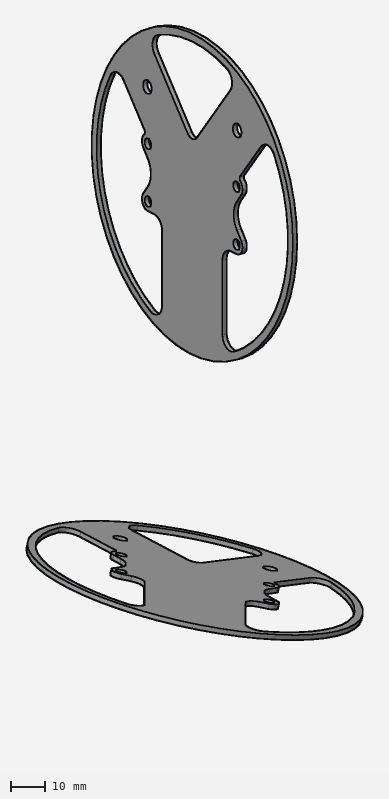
import cadquery as cq
import math

outer_radius = 50.0
thickness = 1.6
ring_inner_radius = 47.5

arm_angle = math.radians(50)
arm_half_width = 10.0
stem_half_width = 15.0
corner_radius = 4.0
top_window_tip_radius = 3.0

arm_hole_diameter = 4.2
arm_hole_distance = 34.7
ear_hole_diameter = 3.2
ear_x = 22.0
ear_z = 9.0

ear_radius = 3.0
ear_to_arm_radius = 1.0
waist_half_width = 20.6
waist_radius = 7.0

overrun = 1.2 * outer_radius

arm_direction = (math.cos(arm_angle), math.sin(arm_angle))
arm_normal = (math.sin(arm_angle), -math.cos(arm_angle))


def arm_point(along, across):
    """Point in arm coordinates; positive across is toward the side window."""
    return (
        along * arm_direction[0] + across * arm_normal[0],
        along * arm_direction[1] + across * arm_normal[1],
    )


def polar(center, radius, angle):
    return (center[0] + radius * math.cos(angle), center[1] + radius * math.sin(angle))


def extrude_in_plate(sketch):
    """Extrude an XZ outline through the plate, centred on Y = 0."""
    return sketch.extrude(thickness).translate((0, thickness / 2, 0))


def disk(radius):
    return extrude_in_plate(cq.Workplane("XZ").circle(radius))


def round_corner(body, corner, radius):
    """Round the through-thickness edge standing at an (x, z) corner."""
    selector = cq.selectors.NearestToPointSelector((corner[0], 0, corner[1]))
    return body.edges("|Y").edges(selector).fillet(radius)


arm_reach = math.sqrt(ring_inner_radius**2 - arm_half_width**2)


def make_top_window():
    tip = (0, arm_half_width / math.cos(arm_angle))
    right_end = arm_point(overrun, -arm_half_width)
    left_end = (-right_end[0], right_end[1])
    top = 2 * outer_radius
    outline = cq.Workplane("XZ").polyline(
        [tip, right_end, (right_end[0], top), (left_end[0], top), left_end]
    ).close()
    window = extrude_in_plate(outline).intersect(disk(ring_inner_radius))
    ring_corner = arm_point(arm_reach, -arm_half_width)
    window = round_corner(window, tip, top_window_tip_radius)
    window = round_corner(window, ring_corner, corner_radius)
    return round_corner(window, (-ring_corner[0], ring_corner[1]), corner_radius)


def make_right_window():
    ear = (ear_x, ear_z)
    lower_ear = (ear_x, -ear_z)

    ear_along = ear_x * arm_direction[0] + ear_z * arm_direction[1]
    ear_across = ear_x * arm_normal[0] + ear_z * arm_normal[1]
    notch_across = arm_half_width + ear_to_arm_radius
    notch_along = ear_along + math.sqrt(
        (ear_radius + ear_to_arm_radius) ** 2 - (notch_across - ear_across) ** 2
    )
    notch = arm_point(notch_along, notch_across)
    notch_start = arm_point(notch_along, arm_half_width)
    ear_to_notch = math.atan2(notch[1] - ear_z, notch[0] - ear_x)
    notch_end = polar(ear, ear_radius, ear_to_notch)
    notch_start_angle = arm_angle + math.pi / 2
    notch_end_angle = ear_to_notch + math.pi
    notch_middle = polar(notch, ear_to_arm_radius, (notch_start_angle + notch_end_angle) / 2)

    waist_center = (waist_half_width + waist_radius, 0)
    center_dx = waist_center[0] - ear_x
    center_distance = math.hypot(center_dx, ear_z)
    tangent_angle = math.atan2(-ear_z, center_dx) + math.acos(
        (ear_radius + waist_radius) / center_distance
    )
    ear_tangent = polar(ear, ear_radius, tangent_angle)
    waist_tangent = polar(waist_center, waist_radius, tangent_angle + math.pi)
    ear_middle = polar(ear, ear_radius, (ear_to_notch + tangent_angle) / 2)
    lower_ear_middle = polar(lower_ear, ear_radius, (-tangent_angle - math.pi / 2) / 2)

    ledge_z = -ear_z - ear_radius
    outline = (
        cq.Workplane("XZ")
        .moveTo(*arm_point(overrun, arm_half_width))
        .lineTo(*notch_start)
        .threePointArc(notch_middle, notch_end)
        .threePointArc(ear_middle, ear_tangent)
        .lineTo(*waist_tangent)
        .threePointArc((waist_half_width, 0), (waist_tangent[0], -waist_tangent[1]))
        .lineTo(ear_tangent[0], -ear_tangent[1])
        .threePointArc(lower_ear_middle, (ear_x, ledge_z))
        .lineTo(stem_half_width, ledge_z)
        .lineTo(stem_half_width, -overrun)
        .lineTo(overrun, -overrun)
        .close()
    )
    window = extrude_in_plate(outline).intersect(disk(ring_inner_radius))
    stem_ring_z = -math.sqrt(ring_inner_radius**2 - stem_half_width**2)
    corners = [
        arm_point(arm_reach, arm_half_width),
        (stem_half_width, ledge_z),
        (stem_half_width, stem_ring_z),
    ]
    for corner in corners:
        window = round_corner(window, corner, corner_radius)
    return window


def make_holes(points, diameter):
    return extrude_in_plate(cq.Workplane("XZ").pushPoints(points).circle(diameter / 2))


right_window = make_right_window()
arm_hole_x, arm_hole_z = arm_point(arm_hole_distance, 0)
arm_holes = [(side * arm_hole_x, arm_hole_z) for side in (-1, 1)]
ear_holes = [(side * ear_x, level * ear_z) for side in (-1, 1) for level in (-1, 1)]

result = (
    disk(outer_radius)
    .cut(make_top_window())
    .cut(right_window)
    .cut(right_window.mirror("YZ"))
    .cut(make_holes(arm_holes, arm_hole_diameter))
    .cut(make_holes(ear_holes, ear_hole_diameter))
)